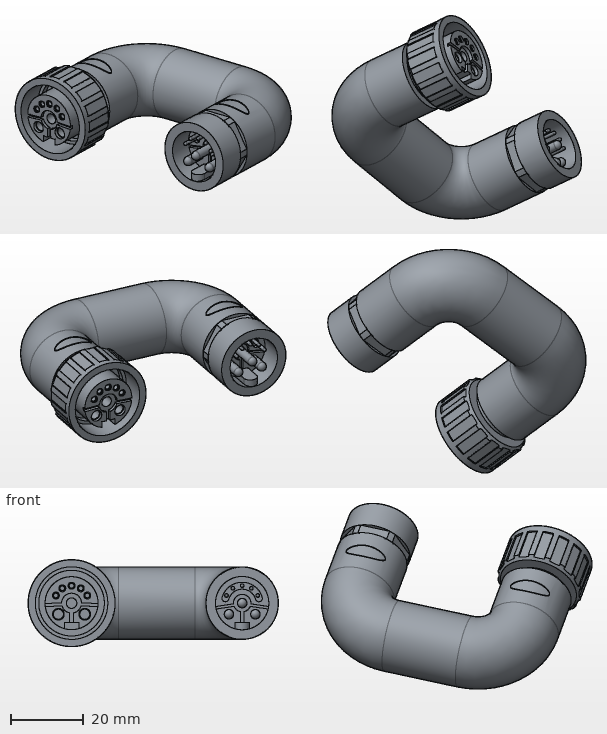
import cadquery as cq
import math

BODY_R = 10.0
BEND_R = 13.0
AXIS_SPACING = 47.0
LEG_LENGTH = 13.0
FEMALE_X = 0.0
MALE_X = FEMALE_X + AXIS_SPACING
LEG_END_Y = -LEG_LENGTH

OVAL_LENGTH = 11.2
OVAL_WIDTH = 4.0
OVAL_DEPTH = 0.2
OVAL_Y = -6.5

NECK_R = 7.85
NECK_LENGTH = 2.1
NUT_LENGTH = 12.0
NUT_R = 12.0
NUT_RIM_LENGTH = 2.0
NUT_CHAMFER = 1.1
NUT_BACK_Y = LEG_END_Y - NECK_LENGTH
NUT_FRONT_Y = NUT_BACK_Y - NUT_LENGTH
NUT_BORE_R = 10.0
NUT_BORE_DEPTH = 8.0
NUT_STEP_R = 9.05
NUT_STEP_DEPTH = 10.0
GRIP_COUNT = 16
GRIP_WIDTH = 3.0
GRIP_FLAT_DISTANCE = 11.5
INSERT_R = 7.3
INSERT_OVERHANG = 0.5
INSERT_FRONT_Y = NUT_FRONT_Y - INSERT_OVERHANG

HEX_LENGTH = 3.0
HEX_ACROSS_FLATS = 18.0
HEX_CORNER_R = 9.9
HEX_TURN = 30.0
COLLAR_LENGTH = 8.1
COLLAR_BACK_Y = LEG_END_Y - HEX_LENGTH
COLLAR_FRONT_Y = COLLAR_BACK_Y - COLLAR_LENGTH
CUP_R = 7.35
CUP_DEPTH = 7.4
CUP_FLOOR_Y = COLLAR_FRONT_Y + CUP_DEPTH

SIGNAL_COUNT = 5
SIGNAL_CIRCLE_R = 4.8
SIGNAL_PITCH = 32.0
POWER_CIRCLE_R = 4.75
POWER_ANGLES = (220.0, 320.0)

SIGNAL_ENTRY_R = 0.95
SIGNAL_HOLE_R = 0.65
POWER_ENTRY_R = 1.6
POWER_HOLE_R = 1.4
CENTRE_HOLE_R = 1.45
SIGNAL_ENTRY_DEPTH = 0.5
POWER_ENTRY_DEPTH = 1.0
HOLE_DEPTH = 8.0

SIGNAL_PIN_R = 0.5
LARGE_PIN_R = 1.3
CENTRE_PIN_TIP_Y = COLLAR_FRONT_Y - 0.35
POWER_PIN_TIP_Y = COLLAR_FRONT_Y + 1.0
SIGNAL_PIN_TIP_Y = COLLAR_FRONT_Y + 1.4
ARC_GROOVE_WIDTH = 1.9
ARC_GROOVE_HALF_ANGLE = 74.0

KEY_WIDTH = 4.0
KEY_TOP_Z = -5.3
KEY_TIP_Y = COLLAR_FRONT_Y + 0.15
KEYWAY_DEPTH = 10.0
RECESS_DEPTH = 1.0
ARM_DROP = 0.2
STEM_WIDTH = 1.0
FEMALE_HUB_R = 2.74
FEMALE_ARM_WIDTH = 0.85
FEMALE_ARM_TILT = 2.7
MALE_HUB_R = 2.4
MALE_ARM_WIDTH = 0.7
MALE_ARM_TILT = 8.5


def plane_at(x, y):
    """Workplane facing -Y: local x is +X, local y is +Z, extrusion goes towards -Y."""
    return cq.Workplane("XZ", origin=(x, y, 0))


def disc(x, radius, back_y, front_y):
    return plane_at(x, back_y).circle(radius).extrude(back_y - front_y)


def polar(radius, degrees):
    angle = math.radians(degrees)
    return (radius * math.cos(angle), radius * math.sin(angle))


def signal_points():
    first = 90 - SIGNAL_PITCH * (SIGNAL_COUNT - 1) / 2
    return [polar(SIGNAL_CIRCLE_R, first + i * SIGNAL_PITCH) for i in range(SIGNAL_COUNT)]


def power_points():
    return [polar(POWER_CIRCLE_R, angle) for angle in POWER_ANGLES]


def make_body():
    bend_mid_in = (BEND_R * (1 - math.cos(math.pi / 4)), BEND_R * math.sin(math.pi / 4))
    bend_mid_out = (AXIS_SPACING - bend_mid_in[0], bend_mid_in[1])
    path = (
        cq.Workplane("XY")
        .moveTo(FEMALE_X, LEG_END_Y)
        .lineTo(FEMALE_X, 0)
        .threePointArc(bend_mid_in, (BEND_R, BEND_R))
        .lineTo(AXIS_SPACING - BEND_R, BEND_R)
        .threePointArc(bend_mid_out, (MALE_X, 0))
        .lineTo(MALE_X, LEG_END_Y)
    )
    return plane_at(FEMALE_X, LEG_END_Y).circle(BODY_R).sweep(path)


def oval_recess(x):
    """Thin curved layer to remove from the top of a leg."""
    oval = (
        cq.Workplane("XY", origin=(x, OVAL_Y, 0))
        .ellipse(OVAL_LENGTH / 2, OVAL_WIDTH / 2)
        .extrude(BODY_R)
    )
    return oval.cut(disc(x, BODY_R - OVAL_DEPTH, 0, LEG_END_Y))


def armed_recess(x, face_y, radius, hub_r, arm_width, arm_tilt, stem_end_z):
    """Hub with two side arms and a stem down to the key, sunk into a contact face."""
    back_y = face_y + RECESS_DEPTH
    recess = disc(x, hub_r, back_y, face_y)
    arm = plane_at(x, back_y).center(radius / 2, 0).rect(radius, arm_width).extrude(RECESS_DEPTH)
    right_arm = arm.rotate((x, 0, 0), (x, 1, 0), arm_tilt).translate((0, 0, -ARM_DROP))
    left_arm = right_arm.mirror("YZ", (x, 0, 0))
    stem = (
        plane_at(x, back_y)
        .center(0, stem_end_z / 2)
        .rect(STEM_WIDTH, -stem_end_z)
        .extrude(RECESS_DEPTH)
    )
    limit = disc(x, radius, back_y, face_y)
    return recess.union(right_arm).union(left_arm).union(stem).intersect(limit)


def make_nut():
    rim_back_y = NUT_FRONT_Y + NUT_RIM_LENGTH
    nut = disc(FEMALE_X, NUT_R, NUT_BACK_Y, NUT_FRONT_Y).faces(">Y").chamfer(NUT_CHAMFER)
    flat_depth = NUT_R - GRIP_FLAT_DISTANCE
    flat = (
        plane_at(FEMALE_X, NUT_BACK_Y)
        .center(0, GRIP_FLAT_DISTANCE + flat_depth / 2)
        .rect(GRIP_WIDTH, flat_depth)
        .extrude(NUT_BACK_Y - rim_back_y)
    )
    for i in range(GRIP_COUNT):
        nut = nut.cut(flat.rotate((FEMALE_X, 0, 0), (FEMALE_X, 1, 0), i * 360 / GRIP_COUNT))
    nut = nut.cut(disc(FEMALE_X, NUT_BORE_R, NUT_FRONT_Y + NUT_BORE_DEPTH, NUT_FRONT_Y))
    return nut.cut(disc(FEMALE_X, NUT_STEP_R, NUT_FRONT_Y + NUT_STEP_DEPTH, NUT_FRONT_Y))


def socket_holes(points, entry_r, entry_depth, hole_r):
    """Blind holes in the insert face, each with a wider entry."""
    entry = plane_at(FEMALE_X, INSERT_FRONT_Y + entry_depth)
    bottom = plane_at(FEMALE_X, INSERT_FRONT_Y + HOLE_DEPTH)
    entries = entry.pushPoints(points).circle(entry_r).extrude(entry_depth)
    return entries.union(bottom.pushPoints(points).circle(hole_r).extrude(HOLE_DEPTH))


def make_insert():
    insert = disc(FEMALE_X, INSERT_R, NUT_FRONT_Y + NUT_STEP_DEPTH, INSERT_FRONT_Y)
    keyway = (
        plane_at(FEMALE_X, INSERT_FRONT_Y + KEYWAY_DEPTH)
        .center(0, (KEY_TOP_Z - INSERT_R) / 2)
        .rect(KEY_WIDTH, KEY_TOP_Z + INSERT_R)
        .extrude(KEYWAY_DEPTH)
    )
    recess = armed_recess(FEMALE_X, INSERT_FRONT_Y, INSERT_R, FEMALE_HUB_R,
                          FEMALE_ARM_WIDTH, FEMALE_ARM_TILT, KEY_TOP_Z)
    insert = insert.cut(keyway).cut(recess)
    signal_holes = socket_holes(signal_points(), SIGNAL_ENTRY_R, SIGNAL_ENTRY_DEPTH, SIGNAL_HOLE_R)
    power_holes = socket_holes(power_points(), POWER_ENTRY_R, POWER_ENTRY_DEPTH, POWER_HOLE_R)
    insert = insert.cut(signal_holes).cut(power_holes)
    return insert.cut(disc(FEMALE_X, CENTRE_HOLE_R, INSERT_FRONT_Y + HOLE_DEPTH, INSERT_FRONT_Y))


def make_shell():
    """Hexagon and collar of the male side, with the cup and its floor recesses."""
    hexagon = (
        plane_at(MALE_X, LEG_END_Y)
        .polygon(6, HEX_ACROSS_FLATS, circumscribed=True)
        .extrude(HEX_LENGTH)
        .rotate((MALE_X, 0, 0), (MALE_X, 1, 0), HEX_TURN)
        .intersect(disc(MALE_X, HEX_CORNER_R, LEG_END_Y, COLLAR_BACK_Y))
    )
    collar = disc(MALE_X, BODY_R, COLLAR_BACK_Y, COLLAR_FRONT_Y)
    shell = hexagon.union(collar).cut(disc(MALE_X, CUP_R, CUP_FLOOR_Y, COLLAR_FRONT_Y))
    recess = armed_recess(MALE_X, CUP_FLOOR_Y, CUP_R, MALE_HUB_R,
                          MALE_ARM_WIDTH, MALE_ARM_TILT, KEY_TOP_Z)
    return shell.cut(recess).cut(arc_groove())


def arc_groove():
    """Round-ended groove in the cup floor around the signal pins."""
    inner_r = SIGNAL_CIRCLE_R - ARC_GROOVE_WIDTH / 2
    outer_r = SIGNAL_CIRCLE_R + ARC_GROOVE_WIDTH / 2
    start = 90 - ARC_GROOVE_HALF_ANGLE
    end = 90 + ARC_GROOVE_HALF_ANGLE
    cap = math.degrees(ARC_GROOVE_WIDTH / 2 / SIGNAL_CIRCLE_R)
    return (
        plane_at(MALE_X, CUP_FLOOR_Y + RECESS_DEPTH)
        .moveTo(*polar(outer_r, start))
        .threePointArc(polar(outer_r, 90), polar(outer_r, end))
        .threePointArc(polar(SIGNAL_CIRCLE_R, end + cap), polar(inner_r, end))
        .threePointArc(polar(inner_r, 90), polar(inner_r, start))
        .threePointArc(polar(SIGNAL_CIRCLE_R, start - cap), polar(outer_r, start))
        .close()
        .extrude(RECESS_DEPTH)
    )


def make_pin(point, radius, tip_y):
    """Round pin with a hemispherical tip, standing on the recess floor."""
    x = MALE_X + point[0]
    dome_y = tip_y + radius
    shank = disc(x, radius, CUP_FLOOR_Y + RECESS_DEPTH, dome_y)
    dome = cq.Workplane("XY", origin=(x, dome_y, 0)).sphere(radius)
    return shank.union(dome).translate((0, 0, point[1]))


def make_key():
    """Key along the cup wall with a half-round tip."""
    half = KEY_WIDTH / 2
    return (
        cq.Workplane("XY", origin=(MALE_X, 0, -CUP_R))
        .moveTo(-half, CUP_FLOOR_Y)
        .lineTo(-half, KEY_TIP_Y + half)
        .threePointArc((0, KEY_TIP_Y), (half, KEY_TIP_Y + half))
        .lineTo(half, CUP_FLOOR_Y)
        .close()
        .extrude(CUP_R + KEY_TOP_Z)
    )


result = make_body().cut(oval_recess(FEMALE_X)).cut(oval_recess(MALE_X))

result = result.union(disc(FEMALE_X, NECK_R, LEG_END_Y, NUT_BACK_Y))
result = result.union(make_nut()).union(make_insert())

result = result.union(make_shell()).union(make_key())
result = result.union(make_pin((0, 0), LARGE_PIN_R, CENTRE_PIN_TIP_Y))
for pin_point in power_points():
    result = result.union(make_pin(pin_point, LARGE_PIN_R, POWER_PIN_TIP_Y))
for pin_point in signal_points():
    result = result.union(make_pin(pin_point, SIGNAL_PIN_R, SIGNAL_PIN_TIP_Y))